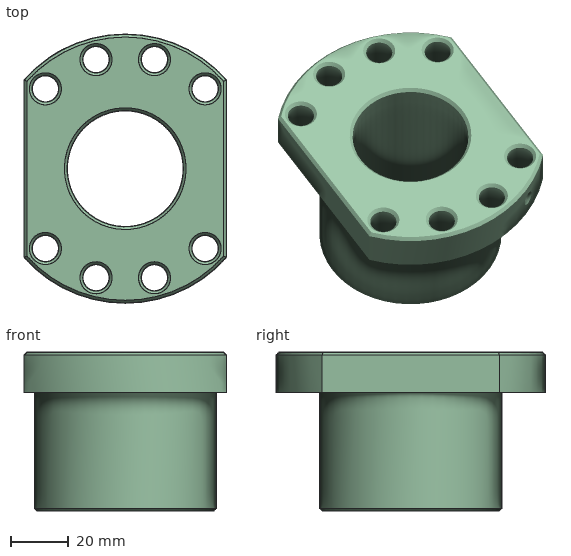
import cadquery as cq

flange_diameter = 93.0
flange_width = 70.0
flange_thickness = 13.95

total_height = 55.0
body_diameter = 63.0
bore_diameter = 40.0

bolt_hole_diameter = 9.0
bolt_circle_diameter = 78.0
bolt_angles_from_y = (-45, -15, 15, 45)

oil_hole_diameter = 4.0
oil_hole_mouth_diameter = 5.0
oil_hole_depth = 10.0
oil_hole_angle_from_y = 30

edge_chamfer = 1.0

flange_bottom_z = total_height - flange_thickness


def make_flange():
    """Flange with two flats and a chamfered top outline."""
    disc = cq.Workplane("XY").circle(flange_diameter / 2).extrude(flange_thickness)
    flats = cq.Workplane("XY").rect(flange_width, flange_diameter).extrude(flange_thickness)
    flange = disc.intersect(flats).faces(">Z").chamfer(edge_chamfer)
    return flange.translate((0, 0, flange_bottom_z))


def make_body():
    """Cylinder from the base up to the flange, chamfered at its lower end."""
    body = cq.Workplane("XY").circle(body_diameter / 2).extrude(flange_bottom_z)
    return body.faces("<Z").chamfer(edge_chamfer)


def hole_cutter(diameter, depth, mouth_chamfer):
    """Cutter for a chamfered hole: mouth at the origin, hole running down -Z."""
    radius = diameter / 2
    return (
        cq.Workplane("XZ")
        .moveTo(0, 0)
        .lineTo(radius + mouth_chamfer, 0)
        .lineTo(radius, -mouth_chamfer)
        .lineTo(radius, -depth)
        .lineTo(0, -depth)
        .close()
        .revolve(360, (0, 0, 0), (0, 1, 0))
    )


def cut_bore(part):
    bore = hole_cutter(bore_diameter, total_height, edge_chamfer)
    return part.cut(bore.translate((0, 0, total_height)))


def cut_bolt_holes(part):
    cutter = hole_cutter(bolt_hole_diameter, flange_thickness, edge_chamfer)
    cutter = cutter.translate((0, bolt_circle_diameter / 2, total_height))
    for end_angle in (0, 180):
        for angle in bolt_angles_from_y:
            part = part.cut(cutter.rotate((0, 0, 0), (0, 0, 1), end_angle + angle))
    return part


def cut_oil_hole(part):
    """Blind radial hole in the rim, at mid-thickness of the flange."""
    mouth_chamfer = (oil_hole_mouth_diameter - oil_hole_diameter) / 2
    rim_radius = flange_diameter / 2
    cutter = hole_cutter(oil_hole_diameter, oil_hole_depth, mouth_chamfer)
    cutter = cutter.rotate((0, 0, 0), (1, 0, 0), -90)
    cutter = cutter.translate((0, rim_radius, flange_bottom_z + flange_thickness / 2))
    return part.cut(cutter.rotate((0, 0, 0), (0, 0, 1), oil_hole_angle_from_y))


blank = make_flange().union(make_body())
bored = cut_bore(blank)
drilled = cut_bolt_holes(bored)
result = cut_oil_hole(drilled)